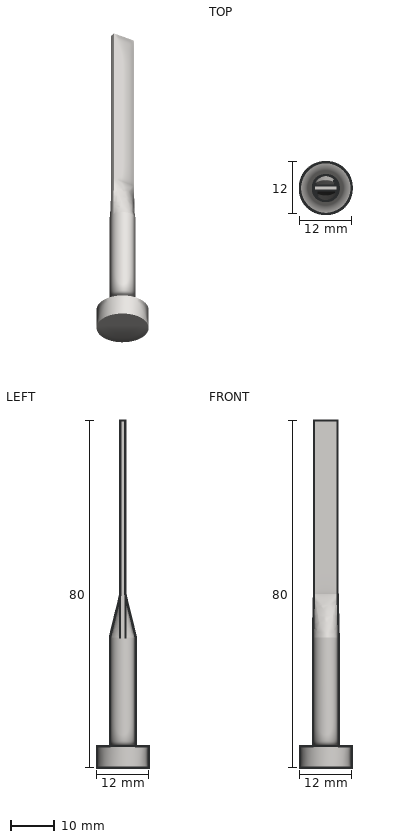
import cadquery as cq
import math

total_length = 80.0
head_diameter = 12.0
head_height = 5.0
shaft_diameter = 6.0
shaft_top = 30.0
blade_width = 5.5
blade_thickness = 1.2
blade_bottom = 40.0

shaft_radius = shaft_diameter / 2
half_width = blade_width / 2
half_thickness = blade_thickness / 2


def cylinder(diameter, bottom, top):
    """Round bar about Z between two heights."""
    return cq.Workplane("XY").workplane(offset=bottom).circle(diameter / 2).extrude(top - bottom)


def blade():
    """Flat rectangular blade, wide along X and thin along Y."""
    base = cq.Workplane("XY").workplane(offset=blade_bottom)
    return base.rect(blade_width, blade_thickness).extrude(total_length - blade_bottom)


def transition():
    """Ruled blend from the round shaft to the blade.

    The circle is split level with the blade faces, so each of its four arcs
    meets one side of the blade rectangle.
    """
    split_x = math.sqrt(shaft_radius**2 - half_thickness**2)
    round_section = (
        cq.Workplane("XY")
        .workplane(offset=shaft_top)
        .moveTo(-split_x, -half_thickness)
        .threePointArc((0, -shaft_radius), (split_x, -half_thickness))
        .threePointArc((shaft_radius, 0), (split_x, half_thickness))
        .threePointArc((0, shaft_radius), (-split_x, half_thickness))
        .threePointArc((-shaft_radius, 0), (-split_x, -half_thickness))
        .close()
    )
    flat_section = (
        cq.Workplane("XY")
        .workplane(offset=blade_bottom)
        .moveTo(-half_width, -half_thickness)
        .lineTo(half_width, -half_thickness)
        .lineTo(half_width, half_thickness)
        .lineTo(-half_width, half_thickness)
        .close()
    )
    sections = [round_section.val(), flat_section.val()]
    return cq.Workplane("XY").newObject([cq.Solid.makeLoft(sections, True)])


head = cylinder(head_diameter, 0, head_height)
shaft = cylinder(shaft_diameter, head_height, shaft_top)

result = head.union(shaft).union(transition()).union(blade())